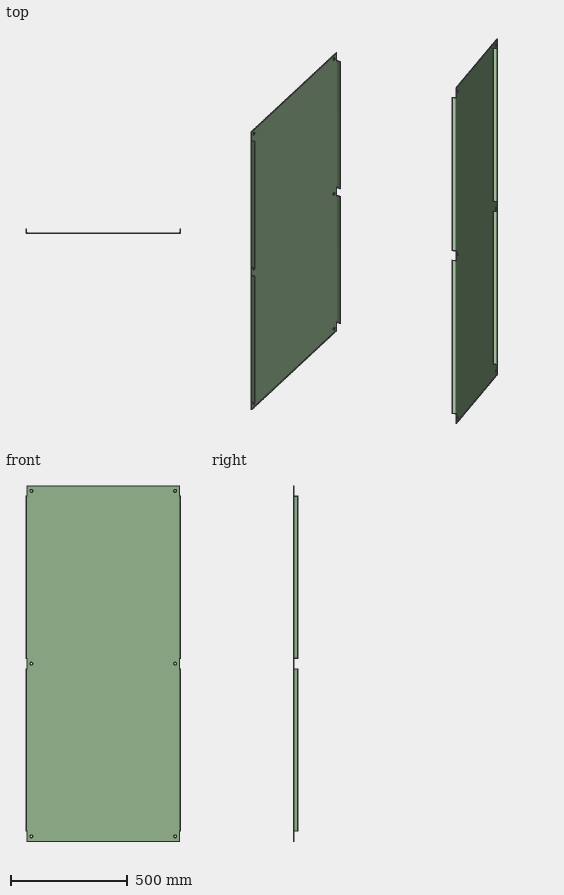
import cadquery as cq

WIDTH = 660.4
DEPTH = 19.05
HEIGHT = 1524.0

THICKNESS = 2.38
INNER_BEND_RADIUS = THICKNESS / 2
OUTER_BEND_RADIUS = INNER_BEND_RADIUS + THICKNESS

FLAT_WIDTH = WIDTH - 2 * OUTER_BEND_RADIUS

FLANGES_PER_EDGE = 2
FLANGE_CLEARANCE = 44.45
FLANGE_LENGTH = (HEIGHT - (FLANGES_PER_EDGE + 1) * FLANGE_CLEARANCE) / FLANGES_PER_EDGE
FLANGE_PITCH = FLANGE_LENGTH + FLANGE_CLEARANCE
FIRST_FLANGE_Z = -HEIGHT / 2 + FLANGE_CLEARANCE

HOLE_DIAMETER = 11.1
HOLE_INSET = 22.225
HOLE_X = WIDTH / 2 - HOLE_INSET
HOLE_Z = HEIGHT / 2 - HOLE_INSET



def flat_sheet():
    """Flat sheet over the full height, between the bend lines."""
    return cq.Workplane("XY").box(FLAT_WIDTH, THICKNESS, HEIGHT).translate((0, THICKNESS / 2, 0))


def rounded_block(width, front_y, radius, bottom_z):
    """Flange-length block reaching back to the flange tips, with rounded front vertical edges."""
    depth = DEPTH - front_y
    return (
        cq.Workplane("XY")
        .box(width, depth, FLANGE_LENGTH, centered=(True, False, False))
        .edges("|Z and <Y")
        .fillet(radius)
        .translate((0, front_y, bottom_z))
    )


def flanged_section(bottom_z):
    """Full-width U section: the web with a bend and a flange at each side."""
    outside = rounded_block(WIDTH, 0, OUTER_BEND_RADIUS, bottom_z)
    inside = rounded_block(WIDTH - 2 * THICKNESS, THICKNESS, INNER_BEND_RADIUS, bottom_z)
    return outside.cut(inside)


def hole_cutters():
    """Cylinders through the sheet at every mounting hole."""
    centers = [(x, z) for x in (-HOLE_X, HOLE_X) for z in (-HOLE_Z, 0, HOLE_Z)]
    return (
        cq.Workplane("XZ")
        .pushPoints(centers)
        .circle(HOLE_DIAMETER / 2)
        .extrude(DEPTH, both=True)
    )


panel = flat_sheet()
for index in range(FLANGES_PER_EDGE):
    panel = panel.union(flanged_section(FIRST_FLANGE_Z + index * FLANGE_PITCH))

result = panel.cut(hole_cutters())